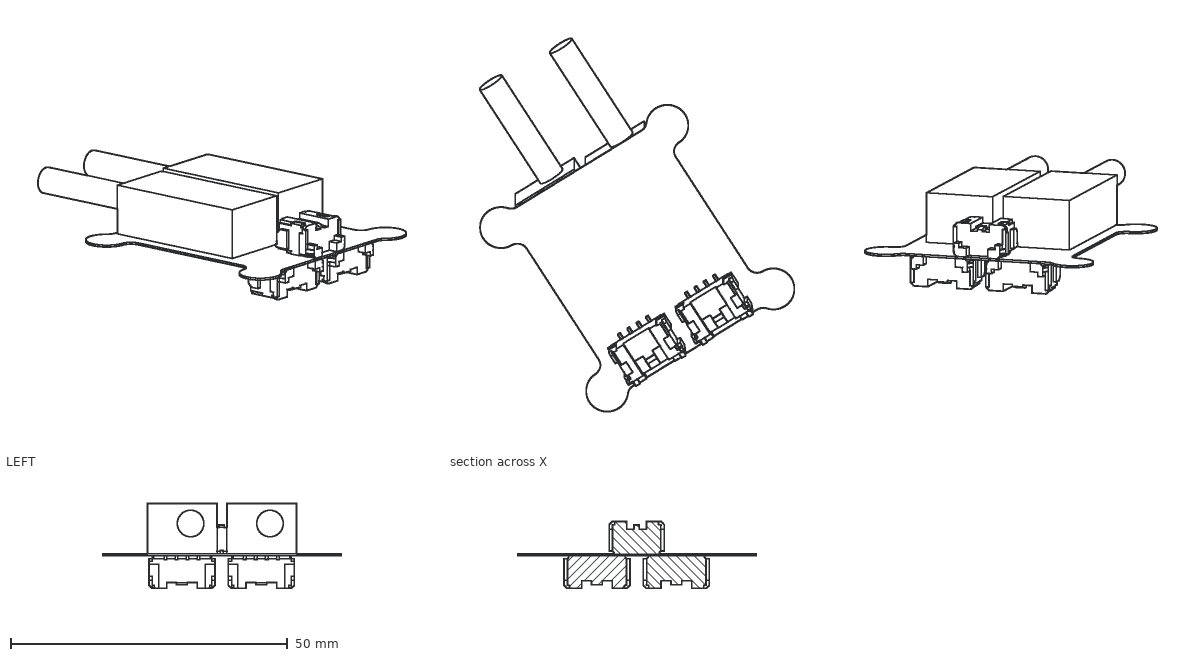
import cadquery as cq
import math


overall_length = 62.35

board_length = 39.3
board_width = 31.85
board_thickness = 0.4
lobe_radius = 3.8
lobe_x = 17.95
lobe_y = 17.8
lobe_fillet = 2.0

housing_length = 26.9
housing_width = 12.6
housing_height = 9.1
housing_offset_y = 7.2
rear_housing_x = -20.0
front_housing_x = -19.0
cable_diameter = 4.8
cable_length = overall_length - lobe_x - lobe_radius + rear_housing_x
cable_shift_y = -1.5
cable_height = 5.5

pitch = 2.0
connector_height = 5.85
connector_x = 11.05
connector_shift_y = 0.05
core_length = 6.75
core_bottom = 0.5
back_recess_depth = 0.25
back_recess_width = 1.75
back_recess_bottom = 1.5

base_start = 1.9
base_inset = 0.25

pad_thickness = 0.6
rear_pad_end = 2.5
rear_pad_bottom = 0.95
rear_pad_top = 4.35
rear_pad_chamfer = 0.95
front_pad_start = 5.4
front_pad_end = 7.0
front_pad_step = 6.1
front_pad_bottom = 0.5
front_pad_top = 4.4
front_nose_top = 5.2
tower_chamfer = 0.55

strap_start = 3.0
strap_end = 5.25
strap_reach = 1.4
strap_drop = 0.1
rebate_depth = 0.55
rebate_inset = 0.4

slot_depth = 1.05
slot_wall_total = 2.5
pocket_start = 3.9
pocket_depth = 0.3
rib_start = 4.7
rib_flat_end = 5.5
rib_height = 0.45

wing_start = 5.25
wing_end = 8.4
wing_outer_width = 0.95
wing_inner_width = 1.4
wing_outer_height = 2.45
wing_inner_height = 1.6
wing_undercut = 0.5

gusset_bottom = 0.9
gusset_top = 1.6

tail_start = -1.05
tail_end = 0.75
tail_width = 0.5
tail_height = 0.7


def box(x_range, y_range, z_range):
    """Axis-aligned block between the given limits."""
    size = [high - low for low, high in (x_range, y_range, z_range)]
    corner = (x_range[0], y_range[0], z_range[0])
    return cq.Workplane("XY").box(*size, centered=False).translate(corner)


def on_both_sides(shape):
    """The shape together with its mirror image across the XZ plane."""
    return shape.union(shape.mirror("XZ"))


def is_lobe_corner(edge):
    """True for the upright edges where a lobe runs into a straight side of the board."""
    middle = edge.Center()
    on_end = math.isclose(abs(middle.x), board_length / 2, abs_tol=0.0005)
    on_side = math.isclose(abs(middle.y), board_width / 2, abs_tol=0.0005)
    return on_end or on_side


def make_board():
    plate = cq.Workplane("XY").rect(board_length, board_width).extrude(-board_thickness)
    lobes = (
        cq.Workplane("XY")
        .rect(2 * lobe_x, 2 * lobe_y, forConstruction=True)
        .vertices()
        .circle(lobe_radius)
        .extrude(-board_thickness)
    )
    return plate.union(lobes).edges("|Z").filter(is_lobe_corner).fillet(lobe_fillet)


def make_housing(back_x, center_y):
    half_width = housing_width / 2
    return box(
        (back_x, back_x + housing_length),
        (center_y - half_width, center_y + half_width),
        (0, housing_height),
    )


def make_cable(housing_back_x, housing_center_y):
    """Round cable ending flush against the back of its housing."""
    return (
        cq.Workplane("YZ", origin=(housing_back_x, housing_center_y + cable_shift_y, cable_height))
        .circle(cable_diameter / 2)
        .extrude(-cable_length)
    )


def connector_core(core_half):
    """Core block on a narrower base, with rebated upper edges and a strap on each side."""
    core = box((0, core_length), (-core_half, core_half), (core_bottom, connector_height))
    base_half = core_half - base_inset
    base = box((base_start, core_length), (-base_half, base_half), (0, core_bottom))
    strap_foot = box((strap_start, strap_end), (-core_half, core_half), (0, core_bottom))

    rebate_y = (core_half - rebate_inset, core_half)
    rebate_z = (connector_height - rebate_depth, connector_height)
    rebates = box((0, strap_start), rebate_y, rebate_z).union(
        box((strap_end, front_pad_step), rebate_y, rebate_z)
    )
    strap_seat = box(
        (strap_start, strap_end),
        (core_half - strap_reach, core_half),
        (connector_height - strap_drop, connector_height),
    )
    return core.union(base).union(strap_foot).cut(on_both_sides(rebates.union(strap_seat)))


def connector_pads(core_half, outer_half):
    """Raised rear and front pads on both sides of the core."""
    pad_y = (core_half, outer_half)
    rear_pad = (
        box((0, rear_pad_end), pad_y, (rear_pad_bottom, rear_pad_top))
        .edges("|Y and <X and >Z")
        .chamfer(rear_pad_chamfer)
    )
    front_pad = box((front_pad_start, front_pad_end), pad_y, (front_pad_bottom, front_pad_top))
    nose = box((front_pad_step, front_pad_end), pad_y, (front_pad_bottom, front_nose_top))
    tower = (
        box((front_pad_step, core_length), pad_y, (front_pad_bottom, connector_height))
        .edges("|X and >Y and >Z")
        .chamfer(tower_chamfer)
    )
    return on_both_sides(rear_pad.union(front_pad).union(nose).union(tower))


def connector_back_recesses(outer_half):
    """Shallow set-backs at the outer ends of the back face."""
    recess = box(
        (0, back_recess_depth),
        (outer_half - back_recess_width, outer_half),
        (back_recess_bottom, connector_height),
    )
    return on_both_sides(recess)


def connector_wings(core_half):
    """Stepped wings that reach forward of the core on both sides."""
    wing_x = (wing_start, wing_end)
    middle = core_half - wing_outer_width
    outer = (
        box(wing_x, (middle, core_half), (0, wing_outer_height))
        .edges("|X and >Y and <Z")
        .chamfer(wing_undercut)
    )
    inner = box(wing_x, (middle - wing_inner_width, middle), (0, wing_inner_height))
    return on_both_sides(outer.union(inner))


def connector_gussets(core_half, outer_half):
    """Triangular webs that lead from the front pads into the wings."""
    gusset = (
        cq.Workplane("XY", origin=(0, 0, gusset_bottom))
        .moveTo(front_pad_start, core_half)
        .lineTo(front_pad_start, outer_half)
        .lineTo(front_pad_end, outer_half)
        .lineTo(wing_end, core_half)
        .close()
        .extrude(gusset_top - gusset_bottom)
    )
    return on_both_sides(gusset)


def connector_key_slot(slot_half, rib_half):
    """Slot along the top, with a deeper pocket, open to the front, on each side of the rib."""
    slot_floor = connector_height - slot_depth
    slot = box((0, core_length), (-slot_half, slot_half), (slot_floor, connector_height))
    pocket = box(
        (pocket_start, core_length),
        (rib_half, slot_half),
        (slot_floor - pocket_depth, slot_floor),
    )
    return slot.union(on_both_sides(pocket))


def connector_rib(rib_half):
    """Latch rib in the slot: upright at the back, sloping down to the front."""
    slot_floor = connector_height - slot_depth
    rib_top = slot_floor + rib_height
    return (
        cq.Workplane("XZ", origin=(0, rib_half, 0))
        .moveTo(rib_start, slot_floor)
        .lineTo(rib_start, rib_top)
        .lineTo(rib_flat_end, rib_top)
        .lineTo(core_length, slot_floor)
        .close()
        .extrude(2 * rib_half)
    )


def make_connector(pin_count):
    """Side-entry connector with one contact tail per pin."""
    outer_half = pitch * (pin_count + 2) / 2
    core_half = outer_half - pad_thickness
    slot_half = (pitch * pin_count - slot_wall_total) / 2
    rib_half = pitch * (pin_count - 2) / 4

    connector = (
        connector_core(core_half)
        .union(connector_pads(core_half, outer_half))
        .cut(connector_back_recesses(outer_half))
        .cut(connector_key_slot(slot_half, rib_half))
        .union(connector_rib(rib_half))
        .union(connector_wings(core_half))
        .union(connector_gussets(core_half, outer_half))
    )
    for pin in range(pin_count):
        pin_y = (pin - (pin_count - 1) / 2) * pitch
        tail_y = (pin_y - tail_width / 2, pin_y + tail_width / 2)
        connector = connector.union(box((tail_start, tail_end), tail_y, (0, tail_height)))
    return connector


board = make_board()

housings = []
cables = []
for back_x, center_y in ((rear_housing_x, housing_offset_y), (front_housing_x, -housing_offset_y)):
    housings.append(make_housing(back_x, center_y).val())
    cables.append(make_cable(back_x, center_y).val())

top_connector = make_connector(3).translate((connector_x, connector_shift_y, 0))

bottom_connectors = []
for center_y in (housing_offset_y, -housing_offset_y):
    hanging = make_connector(4).rotate((0, 0, 0), (1, 0, 0), 180)
    place = (connector_x, center_y + connector_shift_y, -board_thickness)
    bottom_connectors.append(hanging.translate(place).val())

result = cq.Compound.makeCompound(
    [board.val(), *housings, *cables, top_connector.val(), *bottom_connectors]
)